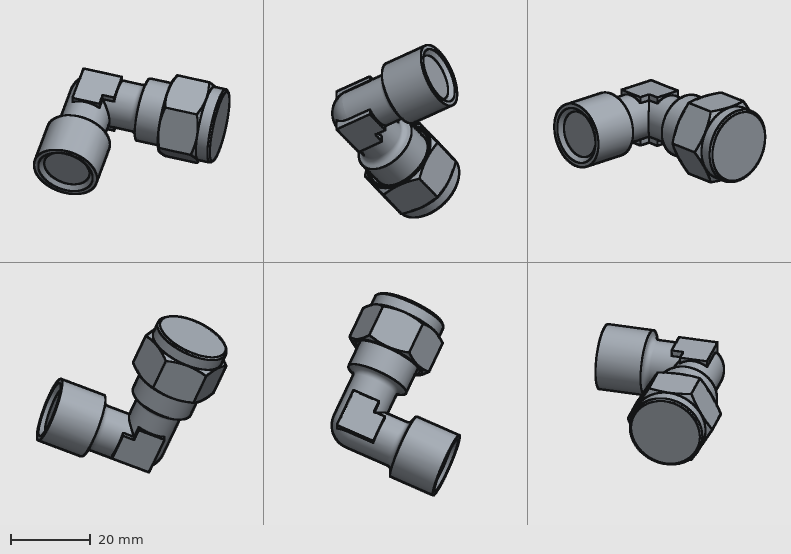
import cadquery as cq
import math

arm_radius = 6.0
neck_start = 11.4

shoulder_arc_radius = 1.5
shoulder_slope = math.radians(15)
body_crown_rise = 0.37
socket_crown_rise = 0.52

pad_half_height = 6.5
pad_outer = 3.53
pad_inner = 6.5
pad_notch = 3.5

socket_radius = 8.25
socket_end = 25.0
socket_mouth_radius = 7.1
socket_floor_radius = 5.9
socket_depth = socket_mouth_radius - socket_floor_radius

body_radius = 8.0
nut_start = 19.5
nut_hex_length = 10.0
nut_across_flats = 19.0
nut_face_radius = 9.43
nut_bevel_angle = math.radians(30)
nut_end = 33.0
nut_end_chamfer = 0.5
nut_recess_radius = 8.8
nut_recess_depth = nut_recess_radius - body_radius


def flared_arm(collar_radius, crown_rise, length):
    """Arm along +X from the origin that flares through an S-shaped shoulder into a collar."""

    def fillet_point(slope):
        along = neck_start + shoulder_arc_radius * math.cos(slope)
        outward = arm_radius + shoulder_arc_radius * (1 - math.sin(slope))
        return along, outward

    cone_start, cone_radius = fillet_point(shoulder_slope)
    crown_radius = collar_radius - crown_rise
    cone_end = cone_start + (crown_radius - cone_radius) * math.tan(shoulder_slope)

    def crown_point(slope):
        along = cone_end + shoulder_arc_radius * (math.cos(shoulder_slope) - math.cos(slope))
        outward = crown_radius + shoulder_arc_radius * (math.sin(slope) - math.sin(shoulder_slope))
        return along, outward

    edge_slope = math.asin(math.sin(shoulder_slope) + crown_rise / shoulder_arc_radius)
    fillet_middle = fillet_point((math.pi / 2 + shoulder_slope) / 2)
    crown_middle = crown_point((shoulder_slope + edge_slope) / 2)
    return (
        cq.Workplane("XY")
        .lineTo(0, arm_radius)
        .lineTo(neck_start, arm_radius)
        .threePointArc(fillet_middle, (cone_start, cone_radius))
        .lineTo(cone_end, crown_radius)
        .threePointArc(crown_middle, crown_point(edge_slope))
        .lineTo(length, collar_radius)
        .lineTo(length, 0)
        .close()
        .revolve(360, (0, 0, 0), (1, 0, 0))
    )


def wrench_pad():
    outline = [
        (-pad_outer, pad_outer),
        (pad_inner, pad_outer),
        (pad_inner, -pad_notch),
        (pad_notch, -pad_notch),
        (pad_notch, -pad_inner),
        (-pad_outer, -pad_inner),
    ]
    return (
        cq.Workplane("XY")
        .workplane(offset=-pad_half_height)
        .polyline(outline)
        .close()
        .extrude(2 * pad_half_height)
    )


def socket_mouth():
    """Shallow cone that opens the end of the socket arm."""
    floor = socket_end - socket_depth
    return (
        cq.Workplane("XY")
        .polyline([
            (0, -floor),
            (socket_floor_radius, -floor),
            (socket_mouth_radius, -socket_end),
            (0, -socket_end),
        ])
        .close()
        .revolve(360, (0, 0, 0), (0, 1, 0))
    )


def nut():
    corner_radius = nut_across_flats / math.sqrt(3)
    bevel_length = (corner_radius - nut_face_radius) * math.tan(nut_bevel_angle)
    hex_end = nut_start + nut_hex_length

    hexagon = (
        cq.Workplane("YZ")
        .workplane(offset=nut_start)
        .polygon(6, 2 * corner_radius)
        .extrude(nut_hex_length)
    )
    bevel_envelope = (
        cq.Workplane("XY")
        .polyline([
            (nut_start, 0),
            (nut_start, nut_face_radius),
            (nut_start + bevel_length, corner_radius),
            (hex_end - bevel_length, corner_radius),
            (hex_end, nut_face_radius),
            (hex_end, 0),
        ])
        .close()
        .revolve(360, (0, 0, 0), (1, 0, 0))
    )
    tail = (
        cq.Workplane("YZ")
        .workplane(offset=hex_end)
        .circle(nut_face_radius)
        .extrude(nut_end - hex_end)
        .faces(">X")
        .chamfer(nut_end_chamfer)
    )
    recess = (
        cq.Workplane("XY")
        .polyline([
            (nut_start, 0),
            (nut_start, nut_recess_radius),
            (nut_start + nut_recess_depth, body_radius),
            (nut_start + nut_recess_depth, 0),
        ])
        .close()
        .revolve(360, (0, 0, 0), (1, 0, 0))
    )
    return hexagon.intersect(bevel_envelope).union(tail).cut(recess)


body_arm = flared_arm(body_radius, body_crown_rise, nut_start + nut_hex_length)
socket_arm = (
    flared_arm(socket_radius, socket_crown_rise, socket_end)
    .rotate((0, 0, 0), (0, 0, 1), -90)
)
elbow_ball = cq.Workplane("XY").sphere(arm_radius)

result = (
    body_arm
    .union(socket_arm)
    .union(elbow_ball)
    .union(wrench_pad())
    .union(nut())
    .cut(socket_mouth())
)